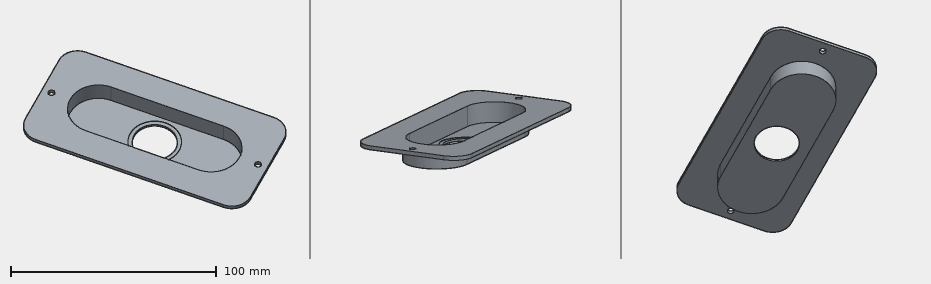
import cadquery as cq

plate_length = 120.0
plate_width = 60.0
plate_thickness = 2.0
corner_radius = 10.0

total_height = 11.8
pocket_length = 90.0
pocket_width = 30.0
wall_thickness = 1.5
floor_thickness = 1.5

opening_diameter = 22.0
recess_diameter = 26.0
recess_depth = 0.2

mount_hole_diameter = 3.2
mount_hole_spacing = 110.0

plate_bottom = total_height - plate_thickness
tub_length = pocket_length + 2 * wall_thickness
tub_width = pocket_width + 2 * wall_thickness


def round_ended_block(length, width, bottom, top):
    """Upright block with a slot-shaped outline, centred on the Z axis."""
    return cq.Workplane("XY").workplane(offset=bottom).slot2D(length, width).extrude(top - bottom)


def cylinder(diameter, bottom, top):
    """Upright cylinder centred on the Z axis."""
    return cq.Workplane("XY").workplane(offset=bottom).circle(diameter / 2).extrude(top - bottom)


plate = (
    cq.Workplane("XY")
    .workplane(offset=plate_bottom)
    .rect(plate_length, plate_width)
    .extrude(plate_thickness)
    .edges("|Z")
    .fillet(corner_radius)
)

tub = round_ended_block(tub_length, tub_width, 0, total_height)
pocket = round_ended_block(pocket_length, pocket_width, floor_thickness, total_height)
body = plate.union(tub).cut(pocket)

body = body.cut(cylinder(opening_diameter, 0, floor_thickness))
body = body.cut(cylinder(recess_diameter, floor_thickness - recess_depth, floor_thickness))

for side in (-1, 1):
    hole = cylinder(mount_hole_diameter, plate_bottom, total_height)
    body = body.cut(hole.translate((side * mount_hole_spacing / 2, 0, 0)))

result = body